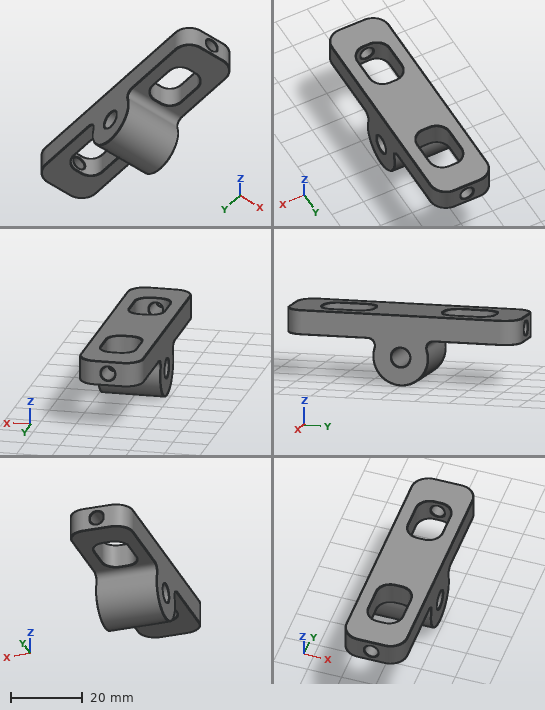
import cadquery as cq
import math

plate_width = 18.0
plate_length = 67.5
plate_thickness = 7.0
plate_corner_radius = 5.0

slot_width = 10.0
slot_length = 15.0
slot_corner_radius = 4.0
slot_spacing = 34.95

overall_height = 20.0
lug_diameter = 16.0
lug_bore_diameter = 5.4
lug_fillet_radius = 2.0

end_hole_diameter = 4.0

edge_chamfer = 0.2

lug_radius = lug_diameter / 2
lug_axis_z = lug_radius - overall_height
slot_centers = [(0, -slot_spacing / 2), (0, slot_spacing / 2)]


def make_plate():
    """Rounded rectangular plate with its upper and lower edges still sharp."""
    return (
        cq.Workplane("XY")
        .rect(plate_width, plate_length)
        .extrude(-plate_thickness)
        .edges("|Z")
        .fillet(plate_corner_radius)
    )


def make_lug():
    """Full-width lug whose fillets touch both the plate underside and the round."""
    fillet_z = -plate_thickness - lug_fillet_radius
    center_distance = lug_radius + lug_fillet_radius
    rise = fillet_z - lug_axis_z
    fillet_y = math.sqrt(center_distance**2 - rise**2)
    tangent_y = fillet_y * lug_radius / center_distance
    tangent_z = lug_axis_z + rise * lug_radius / center_distance

    tangent_angle = math.pi + math.atan2(rise, fillet_y)
    middle_angle = (math.pi / 2 + tangent_angle) / 2
    middle_y = fillet_y + lug_fillet_radius * math.cos(middle_angle)
    middle_z = fillet_z + lug_fillet_radius * math.sin(middle_angle)

    overlap_z = -plate_thickness / 2
    return (
        cq.Workplane("YZ")
        .moveTo(-fillet_y, overlap_z)
        .lineTo(-fillet_y, -plate_thickness)
        .threePointArc((-middle_y, middle_z), (-tangent_y, tangent_z))
        .threePointArc((0, -overall_height), (tangent_y, tangent_z))
        .threePointArc((middle_y, middle_z), (fillet_y, -plate_thickness))
        .lineTo(fillet_y, overlap_z)
        .close()
        .extrude(plate_width / 2, both=True)
    )


def make_slots():
    """Rounded slot cutters that pass through the plate."""
    return (
        cq.Workplane("XY")
        .pushPoints(slot_centers)
        .rect(slot_width, slot_length)
        .extrude(-plate_thickness)
        .edges("|Z")
        .fillet(slot_corner_radius)
    )


def make_bore():
    """Cutter for the lug bore along X, flared at both mouths."""
    bore_radius = lug_bore_diameter / 2
    half_width = plate_width / 2
    flare_start = half_width - edge_chamfer
    flare_radius = bore_radius + edge_chamfer
    return (
        cq.Workplane("XY")
        .polyline(
            [
                (-half_width, 0),
                (-half_width, flare_radius),
                (-flare_start, bore_radius),
                (flare_start, bore_radius),
                (half_width, flare_radius),
                (half_width, 0),
            ]
        )
        .close()
        .revolve(360, (0, 0, 0), (1, 0, 0))
        .translate((0, 0, lug_axis_z))
    )


def make_end_hole():
    """Cutter from the -Y end to the middle of the nearest slot, flared at its mouth."""
    hole_radius = end_hole_diameter / 2
    end_y = -plate_length / 2
    return (
        cq.Workplane("XY")
        .polyline(
            [
                (0, end_y),
                (hole_radius + edge_chamfer, end_y),
                (hole_radius, end_y + edge_chamfer),
                (hole_radius, -slot_spacing / 2),
                (0, -slot_spacing / 2),
            ]
        )
        .close()
        .revolve(360, (0, 0, 0), (0, 1, 0))
        .translate((0, 0, -plate_thickness / 2))
    )


body = make_plate().union(make_lug())

body = body.faces("<X or >X or >Z").edges().chamfer(edge_chamfer)

body = body.cut(make_slots())
mouth_half_width = slot_width / 2 + edge_chamfer
mouth_half_length = slot_length / 2 + edge_chamfer
for mouth_z in (0, -plate_thickness):
    for center_x, center_y in slot_centers:
        mouth_box = cq.selectors.BoxSelector(
            (center_x - mouth_half_width, center_y - mouth_half_length, mouth_z - edge_chamfer),
            (center_x + mouth_half_width, center_y + mouth_half_length, mouth_z + edge_chamfer),
        )
        body = body.edges(mouth_box).chamfer(edge_chamfer)

end_hole = make_end_hole()
body = body.cut(end_hole).cut(end_hole.mirror("XZ"))
slot_end_y = (slot_spacing + slot_length) / 2
rim_reach = end_hole_diameter / 2 + edge_chamfer
for side in (-1, 1):
    rim_box = cq.selectors.BoxSelector(
        (-rim_reach, side * slot_end_y - rim_reach, -plate_thickness / 2 - rim_reach),
        (rim_reach, side * slot_end_y + rim_reach, -plate_thickness / 2 + rim_reach),
        boundingbox=True,
    )
    body = body.edges(rim_box).chamfer(edge_chamfer)

result = body.cut(make_bore())